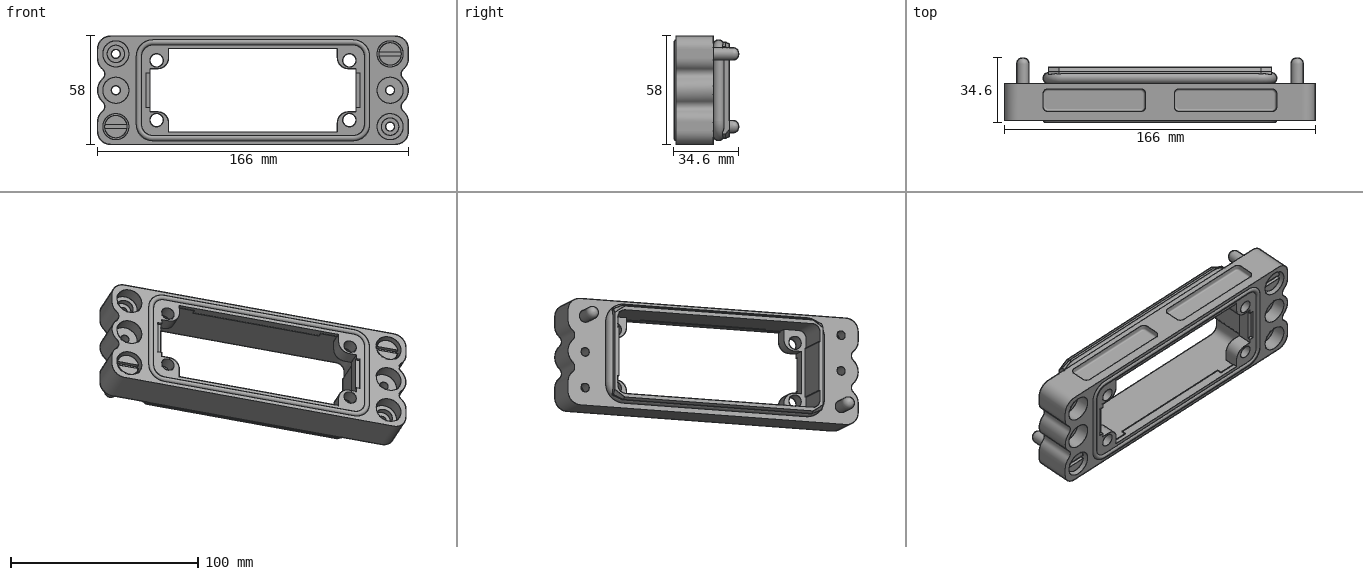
import cadquery as cq
import math


HALF_LENGTH = 166.0 / 2
HALF_HEIGHT = 58.0 / 2
PLATE_THICKNESS = 20.0
EAR_RADIUS = 7.0
EAR_FLAT_TOP = HALF_HEIGHT - EAR_RADIUS
EAR_FLAT_BOTTOM = 16.8
MIDDLE_LOBE_RADIUS = 8.3
NOTCH_RADIUS = 3.5

FRONT_BEAD_RADIUS = 1.5
FRONT_BEAD_HEIGHT = 1.0
FRONT_BEAD_HALF_LENGTH = 61.0
FRONT_BEAD_HALF_HEIGHT = 25.5
FRONT_BEAD_CORNER = 7.5
REAR_BEAD_RADIUS = 3.0
REAR_BEAD_HEIGHT = 5.8
REAR_BEAD_HALF_LENGTH = 59.5
REAR_BEAD_HALF_HEIGHT = 23.9
REAR_BEAD_CORNER = 7.3

COLLAR_HEIGHT = 8.6
COLLAR_FOOT = 4.8
COLLAR_HALF_LENGTH = 59.6
COLLAR_HALF_HEIGHT = 25.7
COLLAR_BEVEL_DEPTH = 2.2
COLLAR_BEVEL_DROP = 1.0
COLLAR_CUT_LENGTH = 5.6
COLLAR_CUT_HEIGHT = 2.3
COLLAR_CUT_HEIGHT_AT_REAR = 3.8
REAR_END = PLATE_THICKNESS + COLLAR_HEIGHT

WINDOW_HALF_LENGTH = 55.0
WINDOW_HALF_HEIGHT = 22.2
LEDGE_THICKNESS = 5.0
RELIEF_THICKNESS = 2.5
RELIEF_START = 35.7
CAVITY_HALF_LENGTH = 57.8
CAVITY_HALF_HEIGHT = 22.7
CAVITY_CORNER = 4.3
END_PAD_HALF_HEIGHT = 13.3
END_PAD_THICKNESS = 0.7

BOSS_THICKNESS = 8.1
BOSS_INNER_X = 45.0
BOSS_INNER_Z = 11.5
BOSS_CORNER = 6.0
BOSS_HOLE_X = 51.5
BOSS_HOLE_Z = 16.0
BOSS_HOLE_RADIUS = 3.5

STEP_HALF_HEIGHT = 9.1
STEP_WIDTH = 2.2
STEP_DEPTH = 1.5

LABEL_CENTRE_X = 35.0
LABEL_LENGTH = 54.8
LABEL_WIDTH = 12.1
LABEL_CENTRE_Y = 11.0
LABEL_CORNER = 2.7
LABEL_DEPTH = 3.0
LABEL_DRAFT_ANGLE = 10.0
LABEL_FLOOR_FILLET = 1.0

HOLE_X = 73.2
HOLE_Z = 19.5
COUNTERBORE_RADIUS = 7.0
COUNTERBORE_DEPTH = 7.5
THROUGH_RADIUS = 2.3
SOCKET_RADIUS = 4.6
SOCKET_DEPTH = 3.3

PIN_RADIUS = 3.3
PIN_PROTRUSION = 13.6
PIN_TIP_FILLET = 3.0
PIN_HEAD_RADIUS = 6.0
PIN_HEAD_FACE = 2.2
PIN_SLOT_WIDTH = 2.2
PIN_SLOT_DEPTH = 2.0

PIN_PLACES = [(HOLE_X, HOLE_Z), (-HOLE_X, -HOLE_Z)]
SOCKET_PLACES = [(-HOLE_X, HOLE_Z), (HOLE_X, -HOLE_Z)]
MIDDLE_PLACES = [(HOLE_X, 0), (-HOLE_X, 0)]
QUADRANTS = [(1, 1), (1, -1), (-1, 1), (-1, -1)]


def plane_at(y):
    """Workplane at depth y whose local axes are X and Z; negative extrusions run toward +Y."""
    return cq.Workplane("XZ", origin=(0, y, 0))


def slab(half_length, half_height, start, end, corner=0):
    """Centred rectangular slab from Y = start to Y = end, with optional round corners."""
    body = plane_at(start).rect(2 * half_length, 2 * half_height).extrude(start - end)
    return body.edges("|Y").fillet(corner) if corner else body


def box(x_range, y_range, z_range):
    """Box given by its limits along each axis."""
    sizes = [high - low for low, high in (x_range, y_range, z_range)]
    return cq.Workplane("XY").box(*sizes, centered=False).translate((x_range[0], y_range[0], z_range[0]))


def rods(places, radius, start, end):
    """Round rods along Y at the given X, Z places."""
    return plane_at(start).pushPoints(places).circle(radius).extrude(start - end)


def point_on(centre, radius, angle):
    return (centre[0] + radius * math.cos(angle), centre[1] + radius * math.sin(angle))


def make_plate():
    """Plate with three lobes at each end, joined by round notches tangent to both neighbours."""
    ear = (HALF_LENGTH - EAR_RADIUS, EAR_FLAT_BOTTOM)
    corner = (HALF_LENGTH - EAR_RADIUS, EAR_FLAT_TOP)
    lobe = (HALF_LENGTH - MIDDLE_LOBE_RADIUS, 0)

    to_lobe = MIDDLE_LOBE_RADIUS + NOTCH_RADIUS
    to_ear = EAR_RADIUS + NOTCH_RADIUS
    base = math.dist(lobe, ear)
    base_angle = math.atan2(ear[1] - lobe[1], ear[0] - lobe[0])
    turn = math.acos((to_lobe**2 + base**2 - to_ear**2) / (2 * to_lobe * base))
    lobe_angle = base_angle - turn
    notch = point_on(lobe, to_lobe, lobe_angle)
    ear_angle = math.atan2(notch[1] - ear[1], notch[0] - ear[0])

    quarter = (
        plane_at(0)
        .lineTo(HALF_LENGTH, 0)
        .threePointArc(
            point_on(lobe, MIDDLE_LOBE_RADIUS, lobe_angle / 2),
            point_on(lobe, MIDDLE_LOBE_RADIUS, lobe_angle),
        )
        .threePointArc(
            point_on(notch, NOTCH_RADIUS, math.pi + (lobe_angle + ear_angle) / 2),
            point_on(ear, EAR_RADIUS, ear_angle),
        )
        .threePointArc(point_on(ear, EAR_RADIUS, ear_angle / 2), (HALF_LENGTH, EAR_FLAT_BOTTOM))
        .lineTo(HALF_LENGTH, EAR_FLAT_TOP)
        .threePointArc(point_on(corner, EAR_RADIUS, math.pi / 4), (corner[0], HALF_HEIGHT))
        .lineTo(0, HALF_HEIGHT)
        .close()
        .extrude(-PLATE_THICKNESS)
    )
    half = quarter.union(quarter.mirror("XY"))
    return half.union(half.mirror("YZ")).clean()


def make_bead(half_length, half_height, corner, radius, depth):
    """Round cord whose centre line is a rounded rectangle at Y = depth."""
    path = slab(half_length, half_height, depth, depth + radius, corner).faces("<Y").wires().val()
    section = cq.Workplane("YZ", origin=(0, depth, half_height)).circle(radius)
    return section.sweep(cq.Workplane(path))


def make_front_bead():
    depth = FRONT_BEAD_RADIUS - FRONT_BEAD_HEIGHT
    return make_bead(
        FRONT_BEAD_HALF_LENGTH, FRONT_BEAD_HALF_HEIGHT, FRONT_BEAD_CORNER, FRONT_BEAD_RADIUS, depth
    )


def make_rear_bead():
    """Rear cord with the solid core that it surrounds."""
    outline = (REAR_BEAD_HALF_LENGTH, REAR_BEAD_HALF_HEIGHT)
    end = PLATE_THICKNESS + REAR_BEAD_HEIGHT
    bead = make_bead(*outline, REAR_BEAD_CORNER, REAR_BEAD_RADIUS, end - REAR_BEAD_RADIUS)
    return bead.union(slab(*outline, PLATE_THICKNESS, end, REAR_BEAD_CORNER))


def collar_outline(half_height, cut_height):
    """Corner points of a rectangle whose four corners are cut off."""
    near_x = COLLAR_HALF_LENGTH - COLLAR_CUT_LENGTH
    near_z = half_height - cut_height
    upper = [(COLLAR_HALF_LENGTH, near_z), (near_x, half_height)]
    upper += [(-x, z) for x, z in reversed(upper)]
    return upper + [(-x, -z) for x, z in upper]


def make_collar():
    """Straight collar resting on the rear bead, followed by its bevelled end."""
    bevel_start = REAR_END - COLLAR_BEVEL_DEPTH
    base_outline = collar_outline(COLLAR_HALF_HEIGHT, COLLAR_CUT_HEIGHT)
    rear_outline = collar_outline(COLLAR_HALF_HEIGHT - COLLAR_BEVEL_DROP, COLLAR_CUT_HEIGHT_AT_REAR)
    start = PLATE_THICKNESS + COLLAR_FOOT
    base = plane_at(start).polyline(base_outline).close().extrude(start - bevel_start)
    bevelled_end = (
        plane_at(bevel_start)
        .polyline(base_outline)
        .close()
        .workplane(offset=-COLLAR_BEVEL_DEPTH)
        .polyline(rear_outline)
        .close()
        .loft(ruled=True)
    )
    return base.union(bevelled_end)


def make_opening():
    """Everything removed from the middle: window, cavity, ledge reliefs and end steps."""
    window = slab(WINDOW_HALF_LENGTH, WINDOW_HALF_HEIGHT, -FRONT_BEAD_HEIGHT, REAR_END)
    cavity = slab(CAVITY_HALF_LENGTH, CAVITY_HALF_HEIGHT, BOSS_THICKNESS, REAR_END, CAVITY_CORNER)
    pad_face = CAVITY_HALF_LENGTH - END_PAD_THICKNESS
    for side in (1, -1):
        pad = box(
            sorted((side * pad_face, side * CAVITY_HALF_LENGTH)),
            (BOSS_THICKNESS, REAR_END),
            (-END_PAD_HALF_HEIGHT, END_PAD_HALF_HEIGHT),
        )
        cavity = cavity.cut(pad)
    behind_ledge = slab(BOSS_INNER_X, CAVITY_HALF_HEIGHT, LEDGE_THICKNESS, BOSS_THICKNESS)
    reliefs = slab(BOSS_INNER_X, CAVITY_HALF_HEIGHT, RELIEF_THICKNESS, LEDGE_THICKNESS).cut(
        slab(RELIEF_START, CAVITY_HALF_HEIGHT, RELIEF_THICKNESS, LEDGE_THICKNESS)
    )
    steps = slab(WINDOW_HALF_LENGTH + STEP_WIDTH, STEP_HALF_HEIGHT, 0, STEP_DEPTH)

    for side_x, side_z in QUADRANTS:
        window = window.cut(make_boss(side_x, side_z))
    return window.union(cavity).union(behind_ledge).union(reliefs).union(steps)


def make_boss(side_x, side_z):
    """Block in one window corner, rounded where it faces the middle of the window."""
    boss = box(
        (BOSS_INNER_X, WINDOW_HALF_LENGTH),
        (-FRONT_BEAD_HEIGHT, BOSS_THICKNESS),
        (BOSS_INNER_Z, WINDOW_HALF_HEIGHT),
    )
    boss = boss.edges("|Y and <X and <Z").fillet(BOSS_CORNER)
    if side_x < 0:
        boss = boss.mirror("YZ")
    if side_z < 0:
        boss = boss.mirror("XY")
    return boss


def make_label_recesses():
    """Two shallow recesses in the top edge, with drafted walls and a filleted floor."""
    outline = cq.Sketch().rect(LABEL_LENGTH, LABEL_WIDTH).vertices().fillet(LABEL_CORNER)
    return (
        cq.Workplane("XY", origin=(0, LABEL_CENTRE_Y, HALF_HEIGHT))
        .pushPoints([(LABEL_CENTRE_X, 0), (-LABEL_CENTRE_X, 0)])
        .placeSketch(outline)
        .extrude(-LABEL_DEPTH, taper=LABEL_DRAFT_ANGLE)
        .faces("<Z")
        .edges()
        .fillet(LABEL_FLOOR_FILLET)
    )


def make_ear_holes():
    """Counterbores in all ears, with pin, socket or plain through holes below them."""
    all_places = PIN_PLACES + SOCKET_PLACES + MIDDLE_PLACES
    holes = rods(all_places, COUNTERBORE_RADIUS, 0, COUNTERBORE_DEPTH)
    holes = holes.union(rods(PIN_PLACES, PIN_RADIUS, 0, PLATE_THICKNESS))
    holes = holes.union(rods(SOCKET_PLACES, SOCKET_RADIUS, 0, COUNTERBORE_DEPTH + SOCKET_DEPTH))
    return holes.union(rods(SOCKET_PLACES + MIDDLE_PLACES, THROUGH_RADIUS, 0, PLATE_THICKNESS))


def make_frame():
    boss_holes = [(side_x * BOSS_HOLE_X, side_z * BOSS_HOLE_Z) for side_x, side_z in QUADRANTS]
    frame = make_plate().union(make_rear_bead()).union(make_collar())
    frame = frame.cut(make_opening()).union(make_front_bead())
    frame = frame.cut(rods(boss_holes, BOSS_HOLE_RADIUS, 0, BOSS_THICKNESS))
    return frame.cut(make_ear_holes()).cut(make_label_recesses())


def make_pin(x, z):
    """Guide pin with a slotted head resting on the counterbore floor and a rounded tip."""
    tip = PLATE_THICKNESS + PIN_PROTRUSION
    shank = rods([(x, z)], PIN_RADIUS, COUNTERBORE_DEPTH, tip).faces(">Y").edges().fillet(PIN_TIP_FILLET)
    head = rods([(x, z)], PIN_HEAD_RADIUS, PIN_HEAD_FACE, COUNTERBORE_DEPTH)
    slot = slab(PIN_HEAD_RADIUS, PIN_SLOT_WIDTH / 2, PIN_HEAD_FACE, PIN_HEAD_FACE + PIN_SLOT_DEPTH)
    return head.union(shank).cut(slot.translate((x, 0, z)))


frame = make_frame()
pins = [make_pin(x, z) for x, z in PIN_PLACES]

result = cq.Compound.makeCompound([frame.val(), *[pin.val() for pin in pins]])